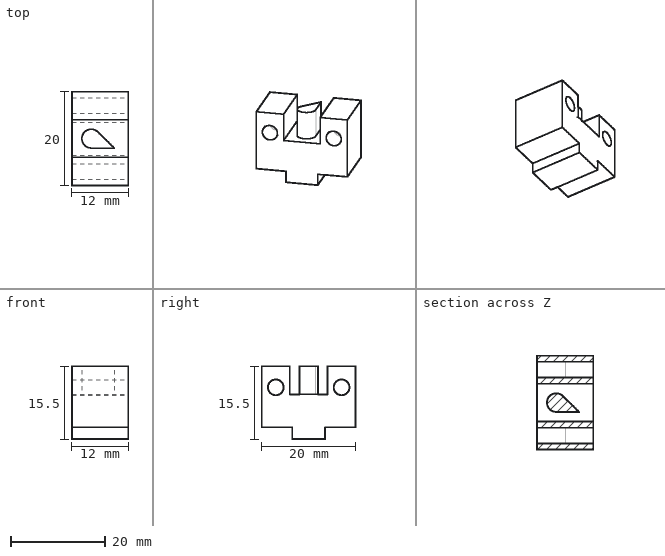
import cadquery as cq
import math

length_x = 12.0
width_y = 20.0
height = 15.5

tongue_width = 7.0
tongue_height = 2.5

slot_width = 8.0
slot_depth = 6.0

hole_diameter = 3.3
hole_spacing = 14.0
hole_drop = 4.5

post_radius = 2.0
post_x = -1.9
tip_reach = 4.9

slot_floor = height - slot_depth


def centred_box(size_y, size_z, bottom):
    """Box of full X length, centred in X and Y, standing on the given height."""
    return (
        cq.Workplane("XY")
        .workplane(offset=bottom)
        .box(length_x, size_y, size_z, centered=(True, True, False))
    )


def side_holes():
    """Cylinders running along X through both uprights."""
    return (
        cq.Workplane("YZ")
        .pushPoints([(side * hole_spacing / 2, height - hole_drop) for side in (-1, 1)])
        .circle(hole_diameter / 2)
        .extrude(length_x / 2, both=True)
    )


def teardrop_post():
    """Round post whose -Y tangent and upper tangent meet in a sharp tip."""
    tip = (post_x + tip_reach, -post_radius)
    tangent_angle = math.pi / 2 - 2 * math.atan2(post_radius, tip_reach)
    upper_tangent = (
        post_x + post_radius * math.cos(tangent_angle),
        post_radius * math.sin(tangent_angle),
    )
    return (
        cq.Workplane("XY")
        .workplane(offset=slot_floor)
        .moveTo(post_x, -post_radius)
        .lineTo(*tip)
        .lineTo(*upper_tangent)
        .threePointArc((post_x - post_radius, 0), (post_x, -post_radius))
        .close()
        .extrude(slot_depth)
    )


block = centred_box(width_y, height - tongue_height, tongue_height)
tongue = centred_box(tongue_width, tongue_height, 0)
slot = centred_box(slot_width, slot_depth, slot_floor)

result = block.union(tongue).cut(slot).cut(side_holes()).union(teardrop_post())